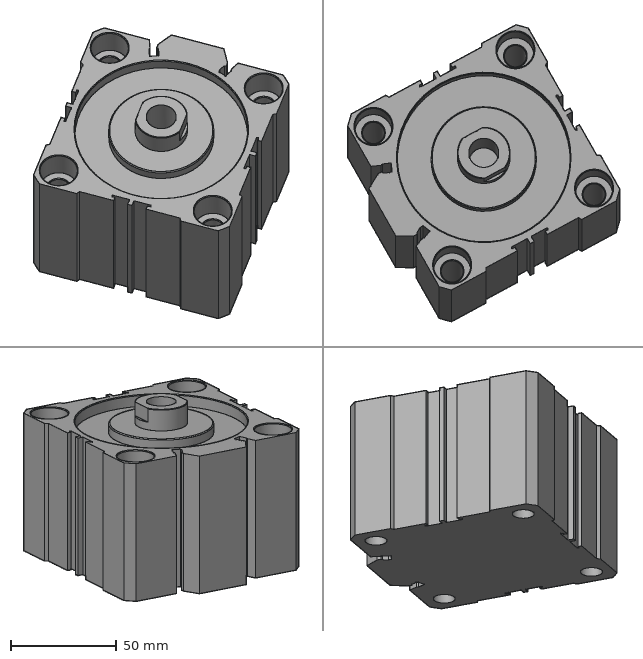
import cadquery as cq
import math

block_side = 98.0
block_height = 68.7
corner_chamfer = 4.3
half_side = block_side / 2

relief_depth = 1.6
relief_outer_half_width = 26.0
relief_inner_half_width = 25.1

slot_mouth_half_width = 8.1
slot_depth = 2.9
undercut_half_width = 9.8
undercut_height = 0.9
undercut_end_radius = 0.4
rib_width = 2.2

rail_height = 6.0
rail_top_half_width = 13.1
rail_wide_half_width = 17.4
rail_wide_top = 1.4
rail_wide_bottom = 3.3

groove_floor_tilt = 22.0
groove_mouth_half_width = 22.2
groove_waist_half_width = 20.3
groove_waist_depth = 4.5
groove_notch_half_width = 20.5
groove_notch_depth = 5.4
groove_floor_half_width = 18.9
groove_floor_depth = 9.3
groove_floor_width = 4.2
rail_lip_half_width = 16.5
rail_lip_depth = 3.6
rail_neck_half_width = 15.2
rail_neck_depth = 6.2

hole_offset = 38.5
hole_radius = 5.2
counterbore_radius = 8.8
counterbore_depth = 13.5
hole_chamfer = 0.4

recess_radius = 41.0
recess_depth = 5.7
recess_chamfer = 0.4
boss_radius = 25.0
boss_height = 4.8
boss_chamfer = 0.5

rod_radius = 12.5
rod_top = 78.5
rod_bottom = block_height / 2
rod_chamfer = 0.3
rod_flat_half_width = 11.0
rod_flat_height = 6.9
rod_bore_radius = 7.1
rod_bore_depth = 20.8


def prism(points):
    """Vertical prism over the full block height."""
    return cq.Workplane("XY").polyline(points).close().extrude(block_height)


def box_between(x_half_width, y_low, y_high):
    """Full-height box, symmetric about X = 0."""
    width = 2 * x_half_width
    depth = y_high - y_low
    return cq.Workplane("XY").center(0, (y_low + y_high) / 2).rect(width, depth).extrude(block_height)


def side_cutter():
    """Relief and split T-slot for the -Y face."""
    face = -half_side
    relief_face = face + relief_depth
    slot_floor = relief_face + slot_depth
    relief = prism([
        (-relief_outer_half_width, face),
        (relief_outer_half_width, face),
        (relief_inner_half_width, relief_face),
        (-relief_inner_half_width, relief_face),
    ])
    mouth = box_between(slot_mouth_half_width, relief_face, slot_floor)
    undercut = box_between(undercut_half_width, slot_floor - undercut_height, slot_floor)
    undercut = undercut.edges("|Z").fillet(undercut_end_radius)
    rib = box_between(rib_width / 2, relief_face, slot_floor)
    return relief.union(mouth.union(undercut).cut(rib))


def mounting_rail():
    """Rail above the +Y face, widest just below the face and rooted in the block."""
    top = half_side + rail_height
    wide_top = half_side - rail_wide_top
    return prism([
        (-rail_top_half_width, top),
        (rail_top_half_width, top),
        (rail_wide_half_width, wide_top),
        (-rail_wide_half_width, wide_top),
    ])


def rail_groove():
    """Groove on the +X side of the mounting rail, cut at an angle into the +Y face."""
    tilt = math.radians(groove_floor_tilt)
    floor_y = half_side - groove_floor_depth
    floor_inner_x = groove_floor_half_width - groove_floor_width * math.cos(tilt)
    floor_inner_y = floor_y + groove_floor_width * math.sin(tilt)
    flank_slope = (rail_wide_half_width - rail_top_half_width) / (rail_height + rail_wide_top)
    flank_at_face = rail_wide_half_width - rail_wide_top * flank_slope
    return prism([
        (groove_mouth_half_width, half_side),
        (groove_waist_half_width, half_side - groove_waist_depth),
        (groove_notch_half_width, half_side - groove_notch_depth),
        (groove_floor_half_width, floor_y),
        (floor_inner_x, floor_inner_y),
        (rail_neck_half_width, half_side - rail_neck_depth),
        (rail_lip_half_width, half_side - rail_lip_depth),
        (rail_wide_half_width, half_side - rail_wide_bottom),
        (rail_wide_half_width, half_side - rail_wide_top),
        (flank_at_face, half_side),
    ])


def revolved(profile):
    """Solid of revolution about Z from (radius, height) points."""
    return cq.Workplane("XZ").polyline(profile).close().revolve(360, (0, 0, 0), (0, 1, 0))


def mounting_hole_cutter():
    """Through hole and counterbore, both with a chamfered mouth."""
    floor = block_height - counterbore_depth
    return revolved([
        (0, 0),
        (hole_radius, 0),
        (hole_radius, floor - hole_chamfer),
        (hole_radius + hole_chamfer, floor),
        (counterbore_radius, floor),
        (counterbore_radius, block_height - hole_chamfer),
        (counterbore_radius + hole_chamfer, block_height),
        (0, block_height),
    ])


def top_recess_cutter():
    """Round recess that leaves the chamfered boss standing."""
    floor = block_height - recess_depth
    boss_top = floor + boss_height
    return revolved([
        (0, boss_top),
        (boss_radius - boss_chamfer, boss_top),
        (boss_radius, boss_top - boss_chamfer),
        (boss_radius, floor),
        (recess_radius, floor),
        (recess_radius, block_height - recess_chamfer),
        (recess_radius + recess_chamfer, block_height),
        (0, block_height),
    ])


def rod_cylinder():
    """Plain rod blank, also the shape of its socket in the housing."""
    return cq.Workplane("XY").workplane(offset=rod_bottom).circle(rod_radius).extrude(rod_top - rod_bottom)


def make_housing():
    body = cq.Workplane("XY").rect(block_side, block_side).extrude(block_height)
    body = body.edges("|Z").chamfer(corner_chamfer)
    body = body.union(mounting_rail())
    for angle in (-90, 0, 90):
        body = body.cut(side_cutter().rotate((0, 0, 0), (0, 0, 1), angle))
    groove = rail_groove()
    body = body.cut(groove).cut(groove.mirror("YZ"))
    for x in (-hole_offset, hole_offset):
        for y in (-hole_offset, hole_offset):
            body = body.cut(mounting_hole_cutter().translate((x, y, 0)))
    return body.cut(top_recess_cutter()).cut(rod_cylinder())


def make_rod():
    rod = rod_cylinder().faces(">Z").chamfer(rod_chamfer)
    flats_blank = cq.Workplane("XY").workplane(offset=rod_top - rod_flat_height)
    outside = flats_blank.rect(2 * rod_radius, 2 * rod_radius).extrude(rod_flat_height)
    kept = flats_blank.rect(2 * rod_flat_half_width, 2 * rod_radius).extrude(rod_flat_height)
    rod = rod.cut(outside.cut(kept))
    bore = cq.Workplane("XY").workplane(offset=rod_top - rod_bore_depth)
    return rod.cut(bore.circle(rod_bore_radius).extrude(rod_bore_depth))


housing = make_housing()
piston_rod = make_rod()

result = cq.Compound.makeCompound([housing.val(), piston_rod.val()])